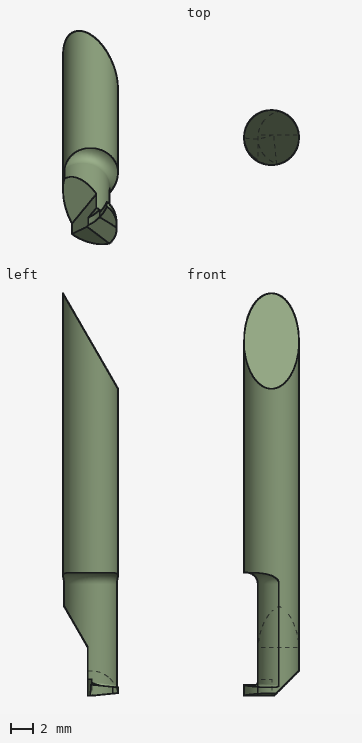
import cadquery as cq
import math

length = 36.58
diameter = 5.0
radius = diameter / 2
slice_angle = 30.0
slice_drop = diameter / math.tan(math.radians(slice_angle))

neck_shift = 1.2
neck_radius = 2.47
neck_left = neck_shift - neck_radius
shoulder_z = 11.2
shoulder_fillet = 1.0
hook_fillet = 0.22

hook_height = 1.02
hook_top_slope = 0.1
hook_bottom_slope = 0.1

flat_y = 0.25
flat_top_z = 4.43
runout_angle = 30.0

bevel_height = 2.3

rake_depth = 0.1
rake_low_x = -1.65
rake_end_x = 0.0
rake_height = 1.55

land_y = -0.3
clearance_mid = (-2.12, -1.17)
clearance_corner_y = -2.0
heel_mid = (-0.675, -2.38)

clear = 2 * diameter


def make_bar():
    """Round bar with the oblique upper face."""
    bar = cq.Workplane("XY").circle(radius).extrude(length)
    slice_cutter = (
        cq.Workplane("YZ")
        .moveTo(radius, length)
        .lineTo(-radius, length - slice_drop)
        .lineTo(-clear, length - slice_drop)
        .lineTo(-clear, length)
        .close()
        .extrude(clear, both=True)
    )
    return bar.cut(slice_cutter)


def neck_cutter():
    """Space around the neck, between the hook and the shoulder, with rounded inner edges."""
    space = (
        cq.Workplane("YZ", origin=(neck_shift, 0, 0))
        .moveTo(-clear, hook_height - hook_top_slope * clear)
        .lineTo(clear, hook_height + hook_top_slope * clear)
        .lineTo(clear, shoulder_z)
        .lineTo(-clear, shoulder_z)
        .close()
        .extrude(-clear)
    )
    core = (
        cq.Workplane("XY", origin=(neck_shift, 0, -clear))
        .circle(neck_radius)
        .extrude(length)
    )
    space = space.cut(core)
    space = space.edges("%CIRCLE").fillet(shoulder_fillet)
    return space.edges("%ELLIPSE").edges("<Z").fillet(hook_fillet)


def flat_cutter():
    """Material beyond the +Y flat and its slanted run-out."""
    runout_width = clear - flat_y
    runout_top_z = flat_top_z + runout_width / math.tan(math.radians(runout_angle))
    return (
        cq.Workplane("YZ")
        .moveTo(flat_y, -clear)
        .lineTo(flat_y, flat_top_z)
        .lineTo(clear, runout_top_z)
        .lineTo(clear, -clear)
        .close()
        .extrude(clear, both=True)
    )


def bevel_cutter():
    """45 degree corner of the lower end on the +X side."""
    return (
        cq.Workplane("XZ")
        .moveTo(radius, bevel_height)
        .lineTo(radius - bevel_height, 0)
        .lineTo(radius, 0)
        .close()
        .extrude(clear, both=True)
    )


def bottom_cutter():
    """Wedge that relieves the bottom face behind the cutting edge."""
    return (
        cq.Workplane("YZ")
        .moveTo(0, 0)
        .lineTo(-clear, hook_bottom_slope * clear)
        .lineTo(-clear, 0)
        .close()
        .extrude(clear, both=True)
    )


def rake_cutter():
    """Hollow chip face that starts at the cutting edge and rises to the +Y flat."""
    return (
        cq.Workplane("XY")
        .moveTo(-radius, 0)
        .threePointArc((rake_low_x, -rake_depth), (rake_end_x, flat_y))
        .lineTo(-radius, flat_y)
        .close()
        .extrude(rake_height)
    )


def clearance_cutter():
    """Material outside the two clearance curves of the hook, up to the neck."""
    land_x = -math.sqrt(radius**2 - land_y**2)
    return (
        cq.Workplane("XY")
        .moveTo(land_x, land_y)
        .threePointArc(clearance_mid, (neck_left, clearance_corner_y))
        .threePointArc(heel_mid, (0, -radius))
        .lineTo(-radius, -radius)
        .lineTo(-radius, land_y)
        .close()
        .extrude(hook_height)
    )


tool = (
    make_bar()
    .cut(neck_cutter())
    .cut(flat_cutter())
    .cut(bevel_cutter())
    .cut(bottom_cutter())
    .cut(rake_cutter())
    .cut(clearance_cutter())
)

tip_space = cq.Workplane("XY").box(clear, clear, rake_height, centered=(True, True, False))
tip_space = tip_space.translate((neck_left - clear / 2, 0, 0))
cutting_tip = tool.intersect(tip_space)
holder = tool.cut(tip_space)

result = cq.Compound.makeCompound([holder.val(), cutting_tip.val()])